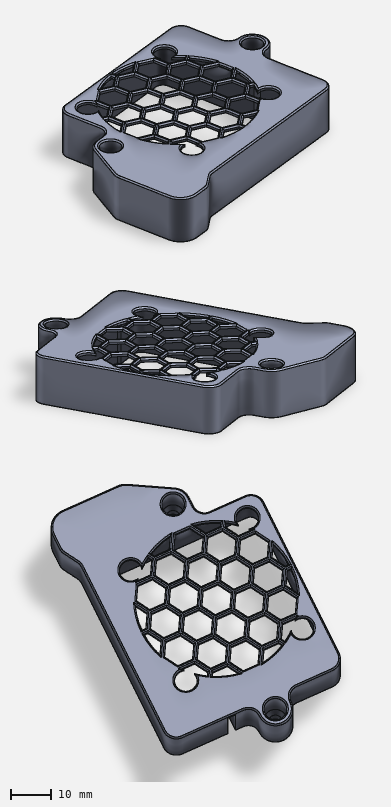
import cadquery as cq
import math

height = 12.8
total_length = 74.15
total_width = 51.1
edge_chamfer = 0.4
plate_thickness = 1.05

main_width = 48.2
main_front = 15.9
main_back = 66.7
main_corner_radius = 3.5
blend_radius = 3.0

screw_x = 20.6
lug_radius = 4.4
back_screw_y = total_length - lug_radius
front_screw_y = 10.3
screw_hole_diameter = 3.4
screw_head_diameter = 5.6
screw_grip = 3.0

wing_corner_radius = 5.0
wing_slope = math.radians(30)
step_slope = math.radians(60)
step_front = 9.65

fan_x = 21.5
fan_y = 37.45
pocket_side = 40.05
pocket_corner_radius = 2.3
opening_radius = 20.25
fan_screw_offset = 16.0
fan_screw_hole_diameter = 5.6

cell_pitch = 8.15
cell_flat = 7.0

slot_x = 31.15
slot_width = 2.1

pocket_depth = height - plate_thickness
screw_points = [(screw_x, back_screw_y), (screw_x, front_screw_y)]


def rounded_corner(outline, corner, radius):
    """Return the prism with its vertical edge at the given corner rounded."""
    x, y = corner
    reach = 0.1
    edge = cq.selectors.BoxSelector((x - reach, y - reach, -0.75), (x + reach, y + reach, height + 0.75))
    return outline.edges(edge).fillet(radius)


def make_body():
    lug_left = screw_x - lug_radius
    lug_right = screw_x + lug_radius
    slope_start_x = screw_x - lug_radius * math.sin(wing_slope)
    slope_start_y = front_screw_y - lug_radius * math.cos(wing_slope)
    slope_end_x = slope_start_x + slope_start_y / math.tan(wing_slope)
    lug_mid_x = screw_x - lug_radius * math.cos(wing_slope)
    lug_mid_y = front_screw_y - lug_radius * math.sin(wing_slope)
    step_back = step_front + (total_width - main_width) * math.tan(step_slope)

    body = (
        cq.Workplane("XY")
        .moveTo(0, main_front)
        .lineTo(lug_left, main_front)
        .lineTo(lug_left, front_screw_y)
        .threePointArc((lug_mid_x, lug_mid_y), (slope_start_x, slope_start_y))
        .lineTo(slope_end_x, 0)
        .lineTo(total_width, 0)
        .lineTo(total_width, step_front)
        .lineTo(main_width, step_back)
        .lineTo(main_width, main_back)
        .lineTo(lug_right, main_back)
        .lineTo(lug_right, back_screw_y)
        .threePointArc((screw_x, total_length), (lug_left, back_screw_y))
        .lineTo(lug_left, main_back)
        .lineTo(0, main_back)
        .close()
        .extrude(height)
    )
    corners = [
        ((0, main_front), main_corner_radius),
        ((0, main_back), main_corner_radius),
        ((main_width, main_back), main_corner_radius),
        ((lug_left, main_front), blend_radius),
        ((lug_left, main_back), blend_radius),
        ((lug_right, main_back), blend_radius),
        ((slope_end_x, 0), lug_radius),
        ((total_width, 0), wing_corner_radius),
        ((total_width, step_front), blend_radius),
        ((main_width, step_back), blend_radius),
    ]
    for corner, radius in corners:
        body = rounded_corner(body, corner, radius)
    return body.faces(">Z").edges().chamfer(edge_chamfer)


def flared_round(x, y, radius, bottom):
    """Round cutter from the bottom level to the top, flared by the edge chamfer."""
    flare_start = height - edge_chamfer
    profile = [
        (0, bottom),
        (radius, bottom),
        (radius, flare_start),
        (radius + edge_chamfer, height),
        (0, height),
    ]
    cutter = cq.Workplane("XZ").polyline(profile).close().revolve(360, (0, 0), (0, 1))
    return cutter.translate((x, y, 0))


def screw_cutter(x, y):
    """Clearance hole, 45 degree head seat and deep head bore."""
    hole_radius = screw_hole_diameter / 2
    head_radius = screw_head_diameter / 2
    seat_top = screw_grip + head_radius - hole_radius
    hole = cq.Workplane("XY").center(x, y).circle(hole_radius).extrude(height)
    seat = cq.Solid.makeCone(
        hole_radius, head_radius, seat_top - screw_grip, pnt=cq.Vector(x, y, screw_grip)
    )
    return hole.union(cq.Workplane(seat)).union(flared_round(x, y, head_radius, seat_top))


def cell_cutter(x, y):
    """One hexagonal grille cell with its rim chamfered at the top."""
    corner_ratio = 1 / math.cos(math.pi / 6)
    flare_start = height - edge_chamfer
    rim_flat = cell_flat + 2 * edge_chamfer
    prism = (
        cq.Workplane("XY", origin=(x, y, pocket_depth))
        .polygon(6, cell_flat * corner_ratio)
        .extrude(flare_start - pocket_depth)
    )
    rim = (
        cq.Workplane("XY", origin=(x, y, flare_start))
        .polygon(6, cell_flat * corner_ratio)
        .workplane(offset=edge_chamfer)
        .polygon(6, rim_flat * corner_ratio)
        .loft(ruled=True)
    )
    return prism.union(rim)


def grille_cells():
    """Centres of the cells that reach into the round fan opening."""
    column_pitch = cell_pitch * math.cos(math.pi / 6)
    centres = []
    steps = math.ceil(opening_radius / column_pitch)
    for column in range(-steps, steps + 1):
        for row in range(-steps, steps + 1):
            x = column * column_pitch
            y = (row + (column % 2) / 2) * cell_pitch
            if math.hypot(x, y) < opening_radius + cell_flat / 2:
                centres.append((fan_x + x, fan_y + y))
    return centres


def make_pocket():
    return (
        cq.Workplane("XY")
        .center(fan_x, fan_y)
        .rect(pocket_side, pocket_side)
        .extrude(pocket_depth)
        .edges("|Z")
        .fillet(pocket_corner_radius)
    )


def make_cable_slot():
    return (
        cq.Workplane("XY")
        .center(slot_x, (fan_y + main_back) / 2)
        .rect(slot_width, main_back - fan_y)
        .extrude(pocket_depth)
    )


result = make_body().cut(make_pocket()).cut(make_cable_slot())

for point in screw_points:
    result = result.cut(screw_cutter(*point))

opening = flared_round(fan_x, fan_y, opening_radius, pocket_depth)
for centre in grille_cells():
    result = result.cut(cell_cutter(*centre).intersect(opening))

for side_x in (-1, 1):
    for side_y in (-1, 1):
        hole_x = fan_x + side_x * fan_screw_offset
        hole_y = fan_y + side_y * fan_screw_offset
        result = result.cut(
            flared_round(hole_x, hole_y, fan_screw_hole_diameter / 2, pocket_depth)
        )